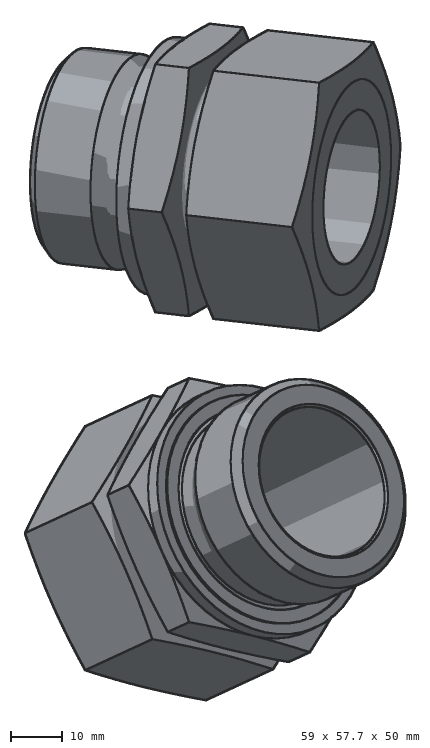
import cadquery as cq
import math

TOTAL_LENGTH = 59.0
ACROSS_FLATS = 50.0
HEX_CHAMFER_ANGLE = 15.0
CONTACT_CIRCLE_INSET = 0.3
CORNER_CLEARANCE = 0.6

BORE_RADIUS = 15.0
BORE_CHAMFER = 0.5
STUD_RADIUS = 20.95
STUD_CHAMFER = 1.65
STUD_CYLINDER_END = 13.15
UNDERCUT_RADIUS = 19.3
UNDERCUT_TAPER_ANGLE = 30.0
UNDERCUT_FILLET = 1.75
UNDERCUT_END = 19.75

FLANGE_START = 20.05
HEX_START = 23.0
HEX_END = 32.1
NECK_RADIUS = STUD_RADIUS
NECK_FILLET = 0.6

SEAL_RADIUS = 22.9
SEAL_INNER_RADIUS = 20.2
SEAL_PROJECTION = 0.4
SEAL_RECESS_DEPTH = 1.5

NUT_START = 35.0

SEAL_START = FLANGE_START - SEAL_PROJECTION
FLAT_RADIUS = ACROSS_FLATS / 2
CORNER_RADIUS = FLAT_RADIUS / math.cos(math.radians(30))


def disc(radius, x_start, x_end):
    """Solid cylinder on the X axis between two stations."""
    return cq.Workplane("YZ", origin=(x_start, 0, 0)).circle(radius).extrude(x_end - x_start)


def hex_prism(x_start, x_end, start_circle, end_circle):
    """Hexagon bar with flats facing +Z and -Z, both ends trimmed by a cone from the given face circle."""
    length = x_end - x_start
    bar = (
        cq.Workplane("YZ", origin=(x_start, 0, 0))
        .polygon(6, 2 * CORNER_RADIUS)
        .extrude(length)
    )
    rim = CORNER_RADIUS + CORNER_CLEARANCE
    slope = math.tan(math.radians(HEX_CHAMFER_ANGLE))
    envelope = (
        cq.Workplane("XY")
        .moveTo(x_start, 0)
        .lineTo(x_start, start_circle)
        .lineTo(x_start + (rim - start_circle) * slope, rim)
        .lineTo(x_end - (rim - end_circle) * slope, rim)
        .lineTo(x_end, end_circle)
        .lineTo(x_end, 0)
        .close()
        .revolve(360, (0, 0, 0), (1, 0, 0))
    )
    return bar.intersect(envelope)


def stud_end():
    """Chamfered stud with a filleted taper down to the undercut, which flares up to the seal seat."""
    taper = math.radians(UNDERCUT_TAPER_ANGLE)
    corner = STUD_CYLINDER_END + (STUD_RADIUS - UNDERCUT_RADIUS) / math.tan(taper)
    tangent = UNDERCUT_FILLET * math.tan(taper / 2)
    arc_middle = (
        corner + tangent - UNDERCUT_FILLET * math.sin(taper / 2),
        UNDERCUT_RADIUS + UNDERCUT_FILLET * (1 - math.cos(taper / 2)),
    )
    return (
        cq.Workplane("XY")
        .lineTo(0, STUD_RADIUS - STUD_CHAMFER)
        .lineTo(STUD_CHAMFER, STUD_RADIUS)
        .lineTo(STUD_CYLINDER_END, STUD_RADIUS)
        .lineTo(corner - tangent * math.cos(taper), UNDERCUT_RADIUS + tangent * math.sin(taper))
        .threePointArc(arc_middle, (corner + tangent, UNDERCUT_RADIUS))
        .lineTo(UNDERCUT_END, UNDERCUT_RADIUS)
        .lineTo(FLANGE_START, SEAL_INNER_RADIUS)
        .lineTo(FLANGE_START, 0)
        .close()
        .revolve(360, (0, 0, 0), (1, 0, 0))
    )


def neck():
    """Tube end that leaves the hexagon through a root fillet and fills the bore of the nut."""
    diagonal = NECK_FILLET * (1 - math.cos(math.radians(45)))
    return (
        cq.Workplane("XY")
        .moveTo(HEX_END, 0)
        .lineTo(HEX_END, NECK_RADIUS + NECK_FILLET)
        .threePointArc(
            (HEX_END + diagonal, NECK_RADIUS + diagonal),
            (HEX_END + NECK_FILLET, NECK_RADIUS),
        )
        .lineTo(TOTAL_LENGTH, NECK_RADIUS)
        .lineTo(TOTAL_LENGTH, 0)
        .close()
        .revolve(360, (0, 0, 0), (1, 0, 0))
    )


def seal_ring():
    """Flat ring in the flange recess, standing slightly proud of the flange face."""
    seal_end = FLANGE_START + SEAL_RECESS_DEPTH
    return disc(SEAL_RADIUS, SEAL_START, seal_end).cut(disc(SEAL_INNER_RADIUS, SEAL_START, seal_end))


def fitting_body(seal):
    """Stud, flange, hexagon and neck in one piece, bored through and recessed for the seal."""
    flange = disc(FLAT_RADIUS, FLANGE_START, HEX_START)
    hexagon = hex_prism(HEX_START, HEX_END, FLAT_RADIUS, FLAT_RADIUS - CONTACT_CIRCLE_INSET)
    bore = disc(BORE_RADIUS, 0, TOTAL_LENGTH)
    solid = stud_end().union(flange).union(hexagon).union(neck())
    bored = solid.cut(bore)
    bore_edge = bored.faces("<X").edges("%CIRCLE").edges(cq.selectors.RadiusNthSelector(0))
    chamfered = bore_edge.chamfer(BORE_CHAMFER)
    return chamfered.cut(seal)


def union_nut():
    """Hexagon nut whose bore fits the neck of the fitting body."""
    hexagon = hex_prism(NUT_START, TOTAL_LENGTH, FLAT_RADIUS, FLAT_RADIUS - CONTACT_CIRCLE_INSET)
    return hexagon.cut(disc(NECK_RADIUS, NUT_START, TOTAL_LENGTH))


seal = seal_ring()
body = fitting_body(seal)
nut = union_nut()

result = cq.Compound.makeCompound([body.val(), seal.val(), nut.val()])